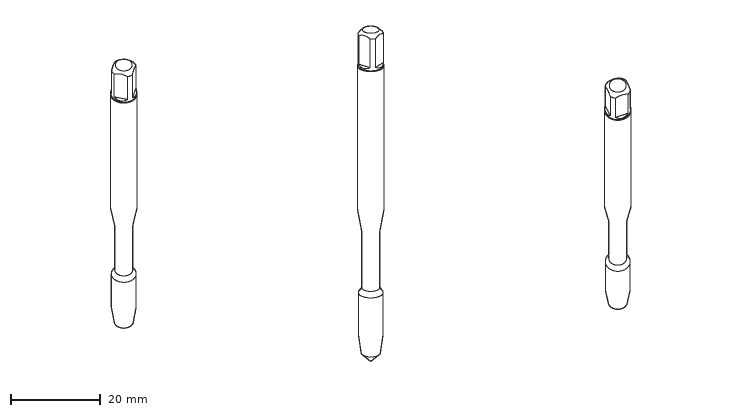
import cadquery as cq

TOTAL_LENGTH = 81.9

POINT_DIAMETER = 4.3
POINT_HEIGHT = POINT_DIAMETER / 2
LEAD_TOP = 6.7
THREAD_DIAMETER = 5.6
THREAD_TOP = 17.0
HEAD_TOP = 18.3

NECK_DIAMETER = 4.0
NECK_TOP = 31.95
TAPER_TOP = 37.7
SHANK_DIAMETER = 6.0
SHANK_TOP = 73.0

DRIVE_DIAMETER = 5.7
ACROSS_FLATS = 4.8
FLATS_BOTTOM = 73.9
DRIVE_CHAMFER = 1.0
SHOULDER_CHAMFER = (SHANK_DIAMETER - DRIVE_DIAMETER) / 2
RAMP_ANGLE = 45.0
RAMP_HEIGHT = (DRIVE_DIAMETER - ACROSS_FLATS) / 2
RAMP_BOTTOM = FLATS_BOTTOM - RAMP_HEIGHT


def revolve_profile(points):
    """Turn a closed (radius, height) outline about the Z axis."""
    return cq.Workplane("XZ").polyline(points).close().revolve(360, (0, 0), (0, 1))


def make_head():
    """Pointed threading head with a tapered lead and a conical back end."""
    return revolve_profile([
        (0, 0),
        (POINT_DIAMETER / 2, POINT_HEIGHT),
        (THREAD_DIAMETER / 2, LEAD_TOP),
        (THREAD_DIAMETER / 2, THREAD_TOP),
        (NECK_DIAMETER / 2, HEAD_TOP),
        (0, HEAD_TOP),
    ])


def make_drive_envelope():
    """Square prism standing on a flared base, bounding the flats and the ramps at their ends."""
    prism = (
        cq.Workplane("XY")
        .workplane(offset=FLATS_BOTTOM)
        .rect(ACROSS_FLATS, ACROSS_FLATS)
        .extrude(TOTAL_LENGTH - FLATS_BOTTOM)
    )
    flared_base = (
        cq.Workplane("XY")
        .workplane(offset=FLATS_BOTTOM)
        .rect(ACROSS_FLATS, ACROSS_FLATS)
        .extrude(-RAMP_HEIGHT, taper=-RAMP_ANGLE)
    )
    return prism.union(flared_base)


def make_shank():
    """Neck, taper and round shank below a chamfered square drive."""
    turned = revolve_profile([
        (0, HEAD_TOP),
        (NECK_DIAMETER / 2, HEAD_TOP),
        (NECK_DIAMETER / 2, NECK_TOP),
        (SHANK_DIAMETER / 2, TAPER_TOP),
        (SHANK_DIAMETER / 2, SHANK_TOP),
        (DRIVE_DIAMETER / 2, SHANK_TOP + SHOULDER_CHAMFER),
        (DRIVE_DIAMETER / 2, TOTAL_LENGTH - DRIVE_CHAMFER),
        (DRIVE_DIAMETER / 2 - DRIVE_CHAMFER, TOTAL_LENGTH),
        (0, TOTAL_LENGTH),
    ])
    waste = (
        cq.Workplane("XY")
        .workplane(offset=RAMP_BOTTOM)
        .circle(SHANK_DIAMETER)
        .extrude(TOTAL_LENGTH - RAMP_BOTTOM)
        .cut(make_drive_envelope())
    )
    return turned.cut(waste)


head = make_head()
shank = make_shank()
result = cq.Compound.makeCompound([head.val(), shank.val()])